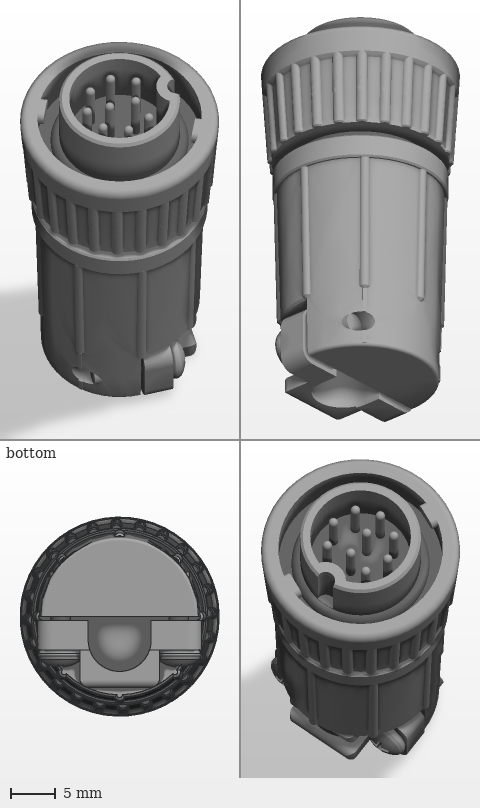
import cadquery as cq
import math

BODY_BOTTOM = 0.55
CLAMP_TOP = 6.85
STEP_Z = 7.63
COLLAR_BOTTOM = 23.95
COLLAR_TOP = 26.7
NUT_BOTTOM = 28.2
NUT_FLOOR = 35.8
FLUTE_TOP = 36.7
SOCKET_FLOOR = 36.9
NUT_WIDEST = 39.2
NUT_TOP = 40.0
PIN_TOP = 42.7
TOTAL_HEIGHT = 43.33

BODY_TOP_RADIUS = 9.4
BODY_BOTTOM_RADIUS = 8.78
BODY_EDGE = 0.35
STEP_EDGE = 0.25
COLLAR_RADIUS = 9.84
COLLAR_EDGE = 0.2
NECK_RADIUS = 7.71
SHELL_RIBS = 8
SHELL_RIB_RADIUS = 0.6
SHELL_RIB_TOP_REACH = 9.72
SHELL_RIB_BOTTOM_REACH = 9.34
SHELL_RIB_END = 0.3
SEAM_WIDTH = 0.45
SEAM_HEIGHT = 0.12

SCREW_X = 6.6
SCREW_Z = 3.55
SCREW_RADIUS = 1.1
FERRULE_Y = -2.0
HEAD_RADIUS = 2.5
HEAD_RIM = 1.1
HEAD_RIM_EDGE = 0.4
HEAD_DOME = 0.85
DRIVE_WIDTH = 0.6
DRIVE_LENGTH = 2.4
DRIVE_DEPTH = 0.7
HOLE_RADIUS = 1.2
SCREW_END_Y = -5.0

CLAMP_HALF_WIDTH = 9.15
CLAMP_CORNER = 1.6
CLAMP_FRONT_Y = 0.42
CLAMP_EAR_Y = 3.7
CHANNEL_RADIUS = 3.52
CHANNEL_CENTER_Y = 2.6
SADDLE_OUTER_RADIUS = 4.45
BAND_HALF_WIDTH = 4.45
BAND_TIP_Y = 7.9
BAND_THICKNESS = 1.72
BAND_MARGIN = 0.15
BAND_CORNER = 1.0
BAND_ROUND = 0.8

NUT_WIDE_RADIUS = 11.11
NUT_NARROW_RADIUS = 10.38
NUT_BORE_RADIUS = 9.18
NUT_TOP_RADIUS = 10.3
GRIP_RIBS = 24
GRIP_RIB_RADIUS = 0.67
GRIP_RIB_EDGE = 0.15
GRIP_DEPTH = 0.47
LUG_ANGLE = 65.4
LUG_HALF_WIDTH = 1.5
LUG_INNER = 8.35
LUG_HEIGHT = 1.5
LUG_ROUND = 0.65

BARREL_RADIUS = 6.74
BARREL_BORE_RADIUS = 5.62
BARREL_EDGE = 0.3
SHOULDER_FILL = 0.99
KEY_CENTER_Y = 6.6
KEY_GROOVE_RADIUS = 1.05
KEY_WALL_RADIUS = 2.25
PIN_RADIUS = 0.52
PIN_CIRCLE_RADIUS = 3.75
PIN_STEP = 45
KEY_ANGLE = 90
INNER_PIN_YS = (1.85, -1.15)


def body_radius(z):
    """Outer radius of the tapered back shell at height z."""
    slope = (BODY_TOP_RADIUS - BODY_BOTTOM_RADIUS) / (COLLAR_BOTTOM - BODY_BOTTOM)
    return BODY_BOTTOM_RADIUS + slope * (z - BODY_BOTTOM)


def nut_radius(z):
    """Outer radius of the conical coupling nut at height z."""
    slope = (NUT_WIDE_RADIUS - NUT_NARROW_RADIUS) / (NUT_WIDEST - NUT_BOTTOM)
    return NUT_NARROW_RADIUS + slope * (z - NUT_BOTTOM)


def cylinder(radius, bottom, top, x=0, y=0):
    return cq.Workplane("XY", origin=(x, y, bottom)).circle(radius).extrude(top - bottom)


def leaning_rod(radius, bottom, bottom_reach, top, top_reach):
    """Rod on the -X side leaning in the XZ plane; the reaches place its outermost line."""
    return (
        cq.Workplane("XY", origin=(0, 0, bottom))
        .center(radius - bottom_reach, 0)
        .circle(radius)
        .workplane(offset=top - bottom)
        .center(bottom_reach - top_reach, 0)
        .circle(radius)
        .loft(ruled=True)
    )


def spin(shape, angle):
    return shape.rotate((0, 0, 0), (0, 0, 1), angle)


def ring_of(shape, count, start=0.0):
    """Evenly spaced copies of a shape around the connector axis."""
    copies = [spin(shape, start + i * 360 / count).val() for i in range(count)]
    return cq.Workplane("XY").newObject(copies)


def body_cone(bottom):
    """Part of the tapered back shell from a given height up to the collar."""
    return (
        cq.Workplane("XY", origin=(0, 0, bottom))
        .circle(body_radius(bottom))
        .workplane(offset=COLLAR_BOTTOM - bottom)
        .circle(BODY_TOP_RADIUS)
        .loft(ruled=True)
    )


def make_shell():
    """Tapered ribbed back shell, cut to a half cylinder at the cable end."""
    front_half = cq.Workplane("XY").box(
        4 * COLLAR_RADIUS, 2 * COLLAR_RADIUS, 2 * COLLAR_BOTTOM, centered=(True, False, True)
    ).translate((0, -2 * COLLAR_RADIUS, 0))
    tail = body_cone(BODY_BOTTOM).faces("<Z").edges().fillet(BODY_EDGE).intersect(front_half)
    upper = body_cone(STEP_Z).faces("<Z").edges().chamfer(STEP_EDGE)
    shell = upper.union(tail)
    rib = leaning_rod(
        SHELL_RIB_RADIUS, STEP_Z, SHELL_RIB_BOTTOM_REACH, COLLAR_BOTTOM, SHELL_RIB_TOP_REACH
    ).faces("<Z").edges().chamfer(SHELL_RIB_END)
    collar = cylinder(COLLAR_RADIUS, COLLAR_BOTTOM, COLLAR_TOP).edges().chamfer(COLLAR_EDGE)
    return shell.union(ring_of(rib, SHELL_RIBS)).union(collar).union(make_seams())


def make_seams():
    """Fine raised strips running down the tail below the two front diagonal ribs."""
    root = BODY_BOTTOM_RADIUS / 2
    bottom = BODY_BOTTOM + BODY_EDGE
    strip = (
        cq.Workplane("XZ")
        .moveTo(root, bottom)
        .lineTo(body_radius(bottom) + SEAM_HEIGHT, bottom)
        .lineTo(body_radius(STEP_Z) + SEAM_HEIGHT, STEP_Z)
        .lineTo(root, STEP_Z)
        .close()
        .extrude(SEAM_WIDTH / 2, both=True)
    )
    return spin(strip, -45).union(spin(strip, -135))


def make_nut():
    """Conical coupling nut with grip ribs, an open bore and two bayonet lugs."""
    step_top_radius = nut_radius(FLUTE_TOP)
    step_z = FLUTE_TOP - GRIP_DEPTH
    crown = NUT_TOP - NUT_WIDEST
    mid = math.sqrt(0.5)
    nut = (
        cq.Workplane("XZ")
        .moveTo(0, NUT_BOTTOM)
        .lineTo(NUT_NARROW_RADIUS - GRIP_DEPTH, NUT_BOTTOM)
        .lineTo(nut_radius(step_z) - GRIP_DEPTH, step_z)
        .lineTo(step_top_radius, FLUTE_TOP)
        .lineTo(NUT_WIDE_RADIUS, NUT_WIDEST)
        .threePointArc(
            (NUT_TOP_RADIUS + mid * (NUT_WIDE_RADIUS - NUT_TOP_RADIUS), NUT_WIDEST + mid * crown),
            (NUT_TOP_RADIUS, NUT_TOP),
        )
        .lineTo(NUT_BORE_RADIUS, NUT_TOP)
        .lineTo(NUT_BORE_RADIUS, NUT_FLOOR)
        .lineTo(0, NUT_FLOOR)
        .close()
        .revolve(360, (0, 0, 0), (0, 1, 0))
    )
    rib = leaning_rod(GRIP_RIB_RADIUS, NUT_BOTTOM, NUT_NARROW_RADIUS, FLUTE_TOP, step_top_radius)
    rib = rib.faces("<Z").edges().chamfer(GRIP_RIB_EDGE)
    half_pitch = 180 / GRIP_RIBS
    nut = nut.union(ring_of(rib, GRIP_RIBS, LUG_ANGLE + half_pitch))
    lug_length = (NUT_BORE_RADIUS + NUT_TOP_RADIUS) / 2 - LUG_INNER
    lug = (
        cq.Workplane("XY", origin=(LUG_INNER, 0, NUT_TOP - LUG_HEIGHT))
        .box(lug_length, 2 * LUG_HALF_WIDTH, LUG_HEIGHT, centered=(False, True, False))
        .edges("|X").fillet(LUG_ROUND)
    )
    return nut.union(ring_of(lug, 2, LUG_ANGLE))


def make_barrel():
    """Neck, plug barrel with its key groove, and the contact pins in the socket."""
    shoulder = NECK_RADIUS - BARREL_RADIUS
    neck = cylinder(NECK_RADIUS, COLLAR_TOP, NUT_FLOOR + shoulder)
    neck = neck.faces(">Z").edges().fillet(shoulder * SHOULDER_FILL)
    barrel = cylinder(BARREL_RADIUS, COLLAR_TOP, TOTAL_HEIGHT)
    barrel = barrel.faces(">Z").edges().chamfer(BARREL_EDGE)
    socket = cylinder(BARREL_BORE_RADIUS, SOCKET_FLOOR, TOTAL_HEIGHT)
    socket = socket.cut(cylinder(KEY_WALL_RADIUS, SOCKET_FLOOR, TOTAL_HEIGHT, y=KEY_CENTER_Y))
    groove = cylinder(KEY_GROOVE_RADIUS, SOCKET_FLOOR, TOTAL_HEIGHT, y=KEY_CENTER_Y)
    barrel = neck.union(barrel).cut(socket).cut(groove)
    pins = []
    for x, y in pin_places():
        pin = cylinder(PIN_RADIUS, COLLAR_TOP, PIN_TOP - PIN_RADIUS, x, y)
        tip = cq.Workplane("XY").sphere(PIN_RADIUS).translate((x, y, PIN_TOP - PIN_RADIUS))
        pins.append(pin.union(tip).val())
    return barrel.union(cq.Workplane("XY").newObject(pins))


def pin_places():
    """Seven pins on a circle, leaving out the key position, and two inner pins."""
    places = [(0, y) for y in INNER_PIN_YS]
    for angle in range(0, 360, PIN_STEP):
        if angle != KEY_ANGLE:
            a = math.radians(angle)
            places.append((PIN_CIRCLE_RADIUS * math.cos(a), PIN_CIRCLE_RADIUS * math.sin(a)))
    return places


def make_clamp():
    """Cable clamp bar with an arched saddle and two raised bands over the channel."""
    bar = (
        cq.Workplane("XY", origin=(0, CLAMP_FRONT_Y, 0))
        .box(2 * CLAMP_HALF_WIDTH, CLAMP_EAR_Y - CLAMP_FRONT_Y, CLAMP_TOP, centered=(True, False, False))
        .edges("|Y").fillet(CLAMP_CORNER)
    )
    saddle = cylinder(
        SADDLE_OUTER_RADIUS, BAND_MARGIN, CLAMP_TOP - BAND_MARGIN, y=CHANNEL_CENTER_Y
    )
    front_waste = cq.Workplane("XY").box(
        4 * CLAMP_HALF_WIDTH, 2 * CLAMP_HALF_WIDTH, 4 * CLAMP_TOP
    ).translate((0, CLAMP_FRONT_Y - CLAMP_HALF_WIDTH, 0))
    clamp = bar.union(saddle.cut(front_waste))
    for bottom in (BAND_MARGIN, CLAMP_TOP - BAND_MARGIN - BAND_THICKNESS):
        block = cq.Workplane("XY", origin=(0, CLAMP_FRONT_Y, bottom)).box(
            2 * BAND_HALF_WIDTH, BAND_TIP_Y - CLAMP_FRONT_Y, BAND_THICKNESS, centered=(True, False, False)
        )
        round_tip = block.faces(">Y").edges("|X").fillet(BAND_ROUND)
        round_corners = block.edges("|Z and >Y").fillet(BAND_CORNER)
        band = round_tip.intersect(round_corners)
        clamp = clamp.union(band)
    channel = cylinder(CHANNEL_RADIUS, 0, CLAMP_TOP, y=CHANNEL_CENTER_Y)
    mouth = cq.Workplane("XY").box(
        2 * CHANNEL_RADIUS, CHANNEL_CENTER_Y, CLAMP_TOP, centered=(True, False, False)
    )
    return clamp.cut(channel).cut(mouth)


def make_screw():
    """Domed screw with a cross drive, pointing toward -Y and centred on the Y axis."""
    rim_y = CLAMP_EAR_Y + HEAD_RIM
    top_y = rim_y + HEAD_DOME
    face_radius = HEAD_RADIUS - HEAD_RIM_EDGE / 2
    dome_radius = (face_radius ** 2 + HEAD_DOME ** 2) / (2 * HEAD_DOME)
    half_angle = math.asin(face_radius / dome_radius) / 2
    dome_mid = (
        dome_radius * math.sin(half_angle),
        top_y - dome_radius * (1 - math.cos(half_angle)),
    )
    screw = (
        cq.Workplane("XY")
        .moveTo(0, SCREW_END_Y)
        .lineTo(HOLE_RADIUS, SCREW_END_Y)
        .lineTo(HOLE_RADIUS, FERRULE_Y)
        .lineTo(SCREW_RADIUS, FERRULE_Y)
        .lineTo(SCREW_RADIUS, CLAMP_EAR_Y)
        .lineTo(face_radius, CLAMP_EAR_Y)
        .lineTo(HEAD_RADIUS, CLAMP_EAR_Y + HEAD_RIM_EDGE)
        .lineTo(HEAD_RADIUS, rim_y - HEAD_RIM_EDGE)
        .lineTo(face_radius, rim_y)
        .threePointArc(dome_mid, (0, top_y))
        .close()
        .revolve(360, (0, 0, 0), (0, 1, 0))
    )
    for size in ((DRIVE_LENGTH, DRIVE_WIDTH), (DRIVE_WIDTH, DRIVE_LENGTH)):
        slot = cq.Workplane("XZ", origin=(0, top_y, 0)).rect(*size).extrude(DRIVE_DEPTH)
        screw = screw.cut(slot)
    return screw


def add_screws(part):
    """Join the clamp to the tail with two screws and open the holes in front of their ends."""
    screw = make_screw()
    for x in (-SCREW_X, SCREW_X):
        hole = (
            cq.Workplane("XZ", origin=(x, SCREW_END_Y, SCREW_Z))
            .circle(HOLE_RADIUS)
            .extrude(COLLAR_RADIUS)
        )
        part = part.cut(hole).union(screw.translate((x, 0, SCREW_Z)))
    return part


shell = make_shell()
connector = shell.union(make_nut()).union(make_barrel()).union(make_clamp())
result = add_screws(connector)